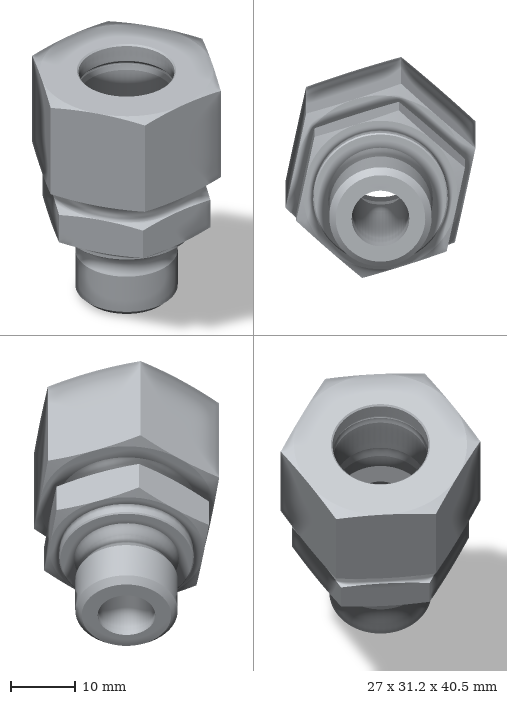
import math

import cadquery as cq


STUD_TOP = 7.5
GROOVE_BOTTOM = 9.15
COLLAR_BOTTOM = 12.03
HEX_BOTTOM = 13.97
HEX_TOP = 20.0
NUT_BOTTOM = 23.5
TUBE_STOP = 24.3
RING_BOTTOM = 29.15
BODY_TOP = 32.4
RING_TOP = 36.77
NUT_TOP = 40.5

STUD_RADIUS = 16.0 / 2
STUD_CHAMFER = 1.0
BORE_RADIUS = 9.0 / 2
COLLAR_RADIUS = 21.0 / 2
COLLAR_CHAMFER = 0.2
GROOVE_ARC_RADIUS = 1.25
GROOVE_LOWER_ANGLE = math.radians(30)
GROOVE_UPPER_ANGLE = math.radians(35)

THREAD_RADIUS = 22.0 / 2
NECK_RADIUS = 19.7 / 2
NECK_FILLET = 0.97
NECK_CYLINDER_TOP = 22.35
NECK_FLANK_ANGLE = math.radians(30)

NUT_ACROSS_FLATS = 27.0
BODY_ACROSS_FLATS = 24.0
HEX_CHAMFER_ANGLE = math.radians(15)

TUBE_RADIUS = 15.0 / 2
SEAT_MOUTH_RADIUS = 17.3 / 2
SEAT_ANGLE = math.radians(12)
NUT_BORE_RADIUS = TUBE_RADIUS
NUT_BORE_DEPTH = 2.95
NUT_BORE_CHAMFER = 0.25
RING_CHAMFER_WIDTH = 0.3
RING_CHAMFER_HEIGHT = 0.9


def revolve(profile):
    """Turn a closed (radius, Z) profile about the Z axis."""
    return profile.close().revolve(360, (0, 0, 0), (0, 1, 0))


def hexagon(across_flats, bottom, top):
    """Hexagonal prism whose corners are cut by a flat cone at both ends."""
    flat_radius = across_flats / 2
    corner_radius = flat_radius / math.cos(math.radians(30))
    corner_drop = (corner_radius - flat_radius) * math.tan(HEX_CHAMFER_ANGLE)
    prism = (
        cq.Workplane("XY", origin=(0, 0, bottom))
        .polygon(6, 2 * corner_radius)
        .extrude(top - bottom)
        .rotate((0, 0, 0), (0, 0, 1), 30)
    )
    envelope = revolve(
        cq.Workplane("XZ")
        .moveTo(0, bottom)
        .lineTo(flat_radius, bottom)
        .lineTo(corner_radius, bottom + corner_drop)
        .lineTo(corner_radius, top - corner_drop)
        .lineTo(flat_radius, top)
        .lineTo(0, top)
    )
    return prism.intersect(envelope)


def seat_radius(height):
    """Radius of the 24 degree tube seat at a height."""
    return SEAT_MOUTH_RADIUS + (height - BODY_TOP) * math.tan(SEAT_ANGLE)


def stud_and_collar():
    """Chamfered stud, rounded undercut groove and sealing collar."""
    groove_bottom_radius = STUD_RADIUS - (GROOVE_BOTTOM - STUD_TOP) * math.tan(GROOVE_LOWER_ANGLE)
    arc_center_radius = groove_bottom_radius + GROOVE_ARC_RADIUS * math.cos(GROOVE_LOWER_ANGLE)
    arc_center_height = GROOVE_BOTTOM + GROOVE_ARC_RADIUS * math.sin(GROOVE_LOWER_ANGLE)
    groove_top = arc_center_height + GROOVE_ARC_RADIUS * math.sin(GROOVE_UPPER_ANGLE)
    groove_top_radius = arc_center_radius - GROOVE_ARC_RADIUS * math.cos(GROOVE_UPPER_ANGLE)
    flank_end_radius = groove_top_radius + (COLLAR_BOTTOM - groove_top) * math.tan(GROOVE_UPPER_ANGLE)
    return revolve(
        cq.Workplane("XZ")
        .lineTo(STUD_RADIUS - STUD_CHAMFER, 0)
        .lineTo(STUD_RADIUS, STUD_CHAMFER)
        .lineTo(STUD_RADIUS, STUD_TOP)
        .lineTo(groove_bottom_radius, GROOVE_BOTTOM)
        .threePointArc(
            (arc_center_radius - GROOVE_ARC_RADIUS, arc_center_height),
            (groove_top_radius, groove_top),
        )
        .lineTo(flank_end_radius, COLLAR_BOTTOM)
        .lineTo(COLLAR_RADIUS - COLLAR_CHAMFER, COLLAR_BOTTOM)
        .lineTo(COLLAR_RADIUS, COLLAR_BOTTOM + COLLAR_CHAMFER)
        .lineTo(COLLAR_RADIUS, HEX_BOTTOM)
        .lineTo(0, HEX_BOTTOM)
    )


def neck_and_thread():
    """Filleted neck above the hexagon, widening into the thread inside the nut."""
    fillet_center_radius = NECK_RADIUS + NECK_FILLET
    diagonal = NECK_FILLET * math.sqrt(0.5)
    lower_fillet_top = HEX_TOP + NECK_FILLET
    flank_start = NECK_CYLINDER_TOP + NECK_FILLET * math.sin(NECK_FLANK_ANGLE)
    flank_start_radius = fillet_center_radius - NECK_FILLET * math.cos(NECK_FLANK_ANGLE)
    half_flank_angle = NECK_FLANK_ANGLE / 2
    thread_bottom = flank_start + (THREAD_RADIUS - flank_start_radius) / math.tan(NECK_FLANK_ANGLE)
    return revolve(
        cq.Workplane("XZ")
        .moveTo(0, HEX_TOP)
        .lineTo(fillet_center_radius, HEX_TOP)
        .threePointArc(
            (fillet_center_radius - diagonal, lower_fillet_top - diagonal),
            (NECK_RADIUS, lower_fillet_top),
        )
        .lineTo(NECK_RADIUS, NECK_CYLINDER_TOP)
        .threePointArc(
            (
                fillet_center_radius - NECK_FILLET * math.cos(half_flank_angle),
                NECK_CYLINDER_TOP + NECK_FILLET * math.sin(half_flank_angle),
            ),
            (flank_start_radius, flank_start),
        )
        .lineTo(THREAD_RADIUS, thread_bottom)
        .lineTo(THREAD_RADIUS, BODY_TOP)
        .lineTo(0, BODY_TOP)
    )


def tube_passage():
    """Through bore, tube socket and conical seat, as the shape to cut from the body."""
    seat_bottom = BODY_TOP - (SEAT_MOUTH_RADIUS - TUBE_RADIUS) / math.tan(SEAT_ANGLE)
    return revolve(
        cq.Workplane("XZ")
        .lineTo(BORE_RADIUS, 0)
        .lineTo(BORE_RADIUS, TUBE_STOP)
        .lineTo(TUBE_RADIUS, TUBE_STOP)
        .lineTo(TUBE_RADIUS, seat_bottom)
        .lineTo(SEAT_MOUTH_RADIUS, BODY_TOP)
        .lineTo(0, BODY_TOP)
    )


def make_body():
    """Stud body with its hexagon, neck and tube seat."""
    outside = (
        stud_and_collar()
        .union(hexagon(BODY_ACROSS_FLATS, HEX_BOTTOM, HEX_TOP))
        .union(neck_and_thread())
    )
    return outside.cut(tube_passage()).solids()


def make_nut():
    """Union nut: thread bore, 45 degree shoulder and chamfered tube bore."""
    shoulder_top = NUT_TOP - NUT_BORE_DEPTH
    shoulder_bottom = shoulder_top - (THREAD_RADIUS - NUT_BORE_RADIUS)
    cavity = revolve(
        cq.Workplane("XZ")
        .moveTo(0, NUT_BOTTOM)
        .lineTo(THREAD_RADIUS, NUT_BOTTOM)
        .lineTo(THREAD_RADIUS, shoulder_bottom)
        .lineTo(NUT_BORE_RADIUS, shoulder_top)
        .lineTo(NUT_BORE_RADIUS, NUT_TOP - NUT_BORE_CHAMFER)
        .lineTo(NUT_BORE_RADIUS + NUT_BORE_CHAMFER, NUT_TOP)
        .lineTo(0, NUT_TOP)
    )
    return hexagon(NUT_ACROSS_FLATS, NUT_BOTTOM, NUT_TOP).cut(cavity).solids()


def make_ring():
    """Cutting ring wedged between the tube seat and the shoulder of the nut."""
    top_radius = NUT_BORE_RADIUS + (NUT_TOP - NUT_BORE_DEPTH - RING_TOP)
    rim_drop = (top_radius - seat_radius(RING_TOP)) / (1 + math.tan(SEAT_ANGLE))
    rim_height = RING_TOP + rim_drop
    return revolve(
        cq.Workplane("XZ")
        .moveTo(TUBE_RADIUS, RING_BOTTOM)
        .lineTo(seat_radius(RING_BOTTOM), RING_BOTTOM)
        .lineTo(seat_radius(rim_height), rim_height)
        .lineTo(top_radius, RING_TOP)
        .lineTo(TUBE_RADIUS + RING_CHAMFER_WIDTH, RING_TOP)
        .lineTo(TUBE_RADIUS, RING_TOP - RING_CHAMFER_HEIGHT)
    )


body = make_body()
nut = make_nut()
ring = make_ring()

result = cq.Compound.makeCompound([body.val(), nut.val(), ring.val()])